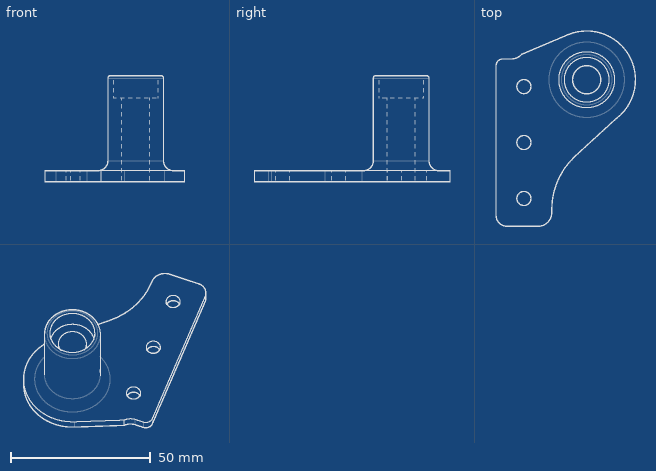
import cadquery as cq
import math

plate_thickness = 4.0
tail_width = 20.0
shoulder_height = 59.95
lower_left_radius = 4.0
lower_right_radius = 5.0
upper_left_radius = 2.5
shoulder_end_x = 5.75
shoulder_radius = 5.0
flank_radius = 25.9
flank_angle = math.radians(42.5)
flank_end_x = 42.8
upper_edge_angle = math.radians(23)
upper_edge_start_x = 9.2

head_radius = 17.5
head_x = 49.95 - head_radius
head_y = 69.95 - head_radius

tube_diameter = 20.0
tube_top = 38.0
bore_diameter = 16.0
bore_depth = 8.0
through_diameter = 10.0
base_fillet = 3.5
rim_fillet = 1.0

mount_diameter = 5.0
mount_x = tail_width / 2
mount_first_y = 10.0
mount_pitch = 20.0
mount_count = 3


def on_circle(center_x, center_y, radius, angle):
    return center_x + radius * math.cos(angle), center_y + radius * math.sin(angle)


def corner_middle(corner_x, corner_y, radius, inward_x, inward_y):
    """Midpoint of the arc that rounds a square corner."""
    inset = radius * (1 - math.sqrt(0.5))
    return corner_x + inward_x * inset, corner_y + inward_y * inset


def make_plate():
    flank_normal = -math.acos((flank_end_x - head_x) / head_radius)
    upper_normal = upper_edge_angle + math.pi / 2
    head_start = on_circle(head_x, head_y, head_radius, flank_normal)
    head_end = on_circle(head_x, head_y, head_radius, upper_normal)
    head_middle = on_circle(head_x, head_y, head_radius, (flank_normal + upper_normal) / 2)

    arc_x = tail_width + flank_radius
    flank_line_y = head_start[1] - (head_start[0] - arc_x) * math.tan(flank_angle)
    arc_y = flank_line_y - flank_radius / math.cos(flank_angle)
    arc_end_angle = flank_angle + math.pi / 2
    arc_end = on_circle(arc_x, arc_y, flank_radius, arc_end_angle)
    arc_middle = on_circle(arc_x, arc_y, flank_radius, (arc_end_angle + math.pi) / 2)

    upper_edge_rise = (head_end[0] - upper_edge_start_x) * math.tan(upper_edge_angle)
    upper_edge_start = (upper_edge_start_x, head_end[1] - upper_edge_rise)

    return (
        cq.Workplane("XY")
        .moveTo(lower_left_radius, 0)
        .lineTo(tail_width - lower_right_radius, 0)
        .threePointArc(
            corner_middle(tail_width, 0, lower_right_radius, -1, 1),
            (tail_width, lower_right_radius),
        )
        .lineTo(tail_width, arc_y)
        .threePointArc(arc_middle, arc_end)
        .lineTo(*head_start)
        .threePointArc(head_middle, head_end)
        .lineTo(*upper_edge_start)
        .radiusArc((shoulder_end_x, shoulder_height), shoulder_radius)
        .lineTo(upper_left_radius, shoulder_height)
        .threePointArc(
            corner_middle(0, shoulder_height, upper_left_radius, 1, -1),
            (0, shoulder_height - upper_left_radius),
        )
        .lineTo(0, lower_left_radius)
        .threePointArc(
            corner_middle(0, 0, lower_left_radius, 1, 1),
            (lower_left_radius, 0),
        )
        .close()
        .extrude(plate_thickness)
    )


def cylinder(x, y, bottom, top, diameter):
    return (
        cq.Workplane("XY", origin=(x, y, bottom))
        .circle(diameter / 2)
        .extrude(top - bottom)
    )


def make_tube():
    """Tube with a rounded rim and a concave flare onto the plate."""
    radius = tube_diameter / 2
    flare_middle = on_circle(
        radius + base_fillet, plate_thickness + base_fillet, base_fillet, math.radians(225)
    )
    rim_middle = on_circle(radius - rim_fillet, tube_top - rim_fillet, rim_fillet, math.radians(45))
    return (
        cq.Workplane("XZ")
        .moveTo(0, plate_thickness)
        .lineTo(radius + base_fillet, plate_thickness)
        .threePointArc(flare_middle, (radius, plate_thickness + base_fillet))
        .lineTo(radius, tube_top - rim_fillet)
        .threePointArc(rim_middle, (radius - rim_fillet, tube_top))
        .lineTo(0, tube_top)
        .close()
        .revolve(360, (0, 0), (0, 1))
        .translate((head_x, head_y, 0))
    )


result = make_plate().union(make_tube())

result = result.cut(cylinder(head_x, head_y, tube_top - bore_depth, tube_top, bore_diameter))
result = result.cut(cylinder(head_x, head_y, 0, tube_top, through_diameter))

for index in range(mount_count):
    mount_y = mount_first_y + index * mount_pitch
    result = result.cut(cylinder(mount_x, mount_y, 0, plate_thickness, mount_diameter))